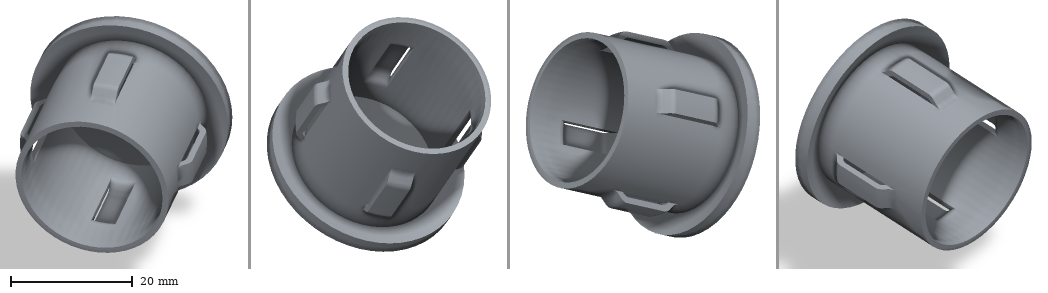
import cadquery as cq
import math


head_radius = 16.85
rim_height = 2.7
dome_height = 2.9

tube_length = 22.4
tube_radius = 13.05
wall = 1.0
bore_radius = tube_radius - wall

strap_count = 4
strap_width = 4.15
strap_length = 14.0
strap_start = 2.4
strap_rise = 1.72
bend_angle = math.radians(45)
bend_radius = 1.5

dome_radius = (head_radius**2 + dome_height**2) / (2 * dome_height)
strap_middle = strap_start + strap_length / 2
crest_radius = tube_radius + strap_rise
ramp_rise = strap_rise - 2 * bend_radius * (1 - math.cos(bend_angle))
ramp_run = ramp_rise / math.tan(bend_angle)
bend_run = 2 * bend_radius * math.sin(bend_angle) + ramp_run


def revolve_about_axis(profile):
    """Turn a closed XY profile (X = radius) once around the Y axis."""
    return profile.revolve(360, (0, 0, 0), (0, 1, 0))


def dome_drop(radius):
    """Height lost by the dome between its apex and the given radius."""
    return dome_radius - math.sqrt(dome_radius**2 - radius**2)


def make_head():
    """Shell of even axial height with matching domes above and below."""
    middle_radius = head_radius / 2
    middle_height = dome_height - dome_drop(middle_radius)
    return revolve_about_axis(
        cq.Workplane("XY")
        .moveTo(0, dome_height)
        .threePointArc((middle_radius, middle_height), (head_radius, 0))
        .lineTo(head_radius, rim_height)
        .threePointArc((middle_radius, rim_height + middle_height), (0, rim_height + dome_height))
        .close()
    )


def make_tube():
    """Open tube reaching up into the hollow underside of the head."""
    tube_top = dome_height - dome_drop(bore_radius) + rim_height / 2
    return revolve_about_axis(
        cq.Workplane("XY")
        .moveTo(bore_radius, -tube_length)
        .lineTo(tube_radius, -tube_length)
        .lineTo(tube_radius, tube_top)
        .lineTo(bore_radius, tube_top)
        .close()
    )


def bend_point(center, angle):
    """Point on a bend; angle zero points away from the tube's axis."""
    center_radius, center_y = center
    return (
        center_radius + bend_radius * math.cos(angle),
        center_y + bend_radius * math.sin(angle),
    )


def make_half_strap_ring():
    """Upper half of a ring with the strap's bent-sheet section.

    Both skins have the same bends. The inner skin is the outer one moved
    inward and down, so the foot, ramp and crest are all one wall thick.
    """
    inner_foot_y = -strap_start - wall * math.tan(bend_angle / 2)
    outer_foot = (tube_radius + bend_radius, -strap_start)
    inner_foot = (bore_radius + bend_radius, inner_foot_y)
    outer_crest = (crest_radius - bend_radius, -strap_start - bend_run)
    inner_crest = (crest_radius - wall - bend_radius, inner_foot_y - bend_run)
    foot_angle = math.pi + bend_angle
    foot_middle = math.pi + bend_angle / 2
    crest_middle = bend_angle / 2
    return revolve_about_axis(
        cq.Workplane("XY")
        .moveTo(bore_radius, -strap_start)
        .lineTo(tube_radius, -strap_start)
        .threePointArc(bend_point(outer_foot, foot_middle), bend_point(outer_foot, foot_angle))
        .lineTo(*bend_point(outer_crest, bend_angle))
        .threePointArc(bend_point(outer_crest, crest_middle), bend_point(outer_crest, 0))
        .lineTo(crest_radius, -strap_middle)
        .lineTo(crest_radius - wall, -strap_middle)
        .lineTo(*bend_point(inner_crest, 0))
        .threePointArc(bend_point(inner_crest, crest_middle), bend_point(inner_crest, bend_angle))
        .lineTo(*bend_point(inner_foot, foot_angle))
        .threePointArc(bend_point(inner_foot, foot_middle), (bore_radius, inner_foot_y))
        .close()
    )


def make_strap_ring():
    """Full strap ring, mirrored about the middle of the strap."""
    half = make_half_strap_ring()
    return half.union(half.mirror("XZ", (0, -strap_middle, 0)))


def make_radial_block(length, turn):
    """Strap-wide block reaching out from the axis, level with the straps."""
    return (
        cq.Workplane("XY")
        .box(head_radius, length, strap_width, centered=(False, True, True))
        .translate((0, -strap_middle, 0))
        .rotate((0, 0, 0), (0, 1, 0), turn)
    )


strap_turns = [index * 360 / strap_count for index in range(strap_count)]
strap_ring = make_strap_ring()

result = make_head().union(make_tube())
for turn in strap_turns:
    result = result.cut(make_radial_block(strap_length, turn))
for turn in strap_turns:
    result = result.union(strap_ring.intersect(make_radial_block(tube_length, turn)))